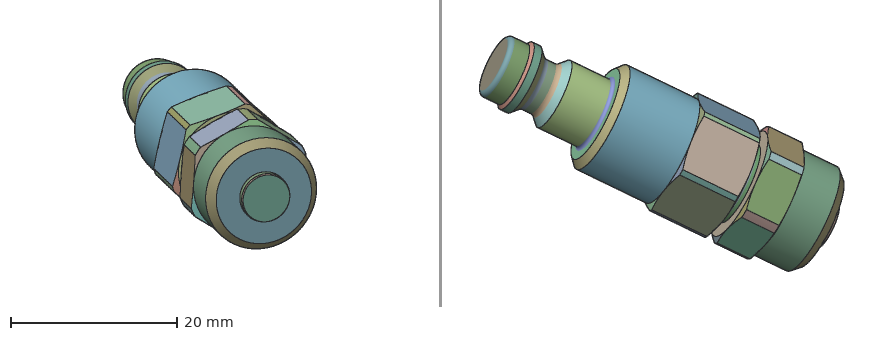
import cadquery as cq
import math

overall_length = 46.0

nose_radius = 8.1 / 2
nose_round = 0.6
collar_radius = 9.0 / 2
collar_ramp_start_x = 2.65
collar_start_x = 3.05
collar_end_x = 4.1

groove_radius = 6.7 / 2
groove_blend = 0.9
shank_start_x = 8.25
shank_root_fillet = 0.4

body_radius = 14.0 / 2
body_start_x = 14.0
body_face_radius = 12.1 / 2
body_chamfer_length = 0.87
cap_chamfer_start_x = 43.85
cap_end_x = 44.95
cap_face_radius = 12.0 / 2

stub_radius = 6.05 / 2
stub_chamfer = 0.28
stub_chamfer_depth = 0.1

across_flats = 2 * body_radius
body_hex_start_x = 24.45
body_hex_end_x = 32.75
body_hex_corner_radius = 7.85
body_hex_angle = 43.7
nut_hex_start_x = 33.85
nut_hex_end_x = 38.85
nut_hex_corner_radius = 15.5 / 2
nut_hex_angle = 34.3
hex_chamfer_length = 0.3
nut_rear_chamfer_length = 0.15
neck_radius = 10.4 / 2
neck_fillet = 0.7


def revolve_about_x(profile):
    """Revolve a closed XY half profile a full turn about the X axis."""
    return profile.revolve(360, (0, 0, 0), (1, 0, 0))


def make_turned_body():
    """Nose, locking groove, shank, body, neck, cap and stub as one revolve."""
    blend_run = groove_blend * math.sin(math.radians(45))
    blend_rise = groove_blend - blend_run
    half_run = groove_blend * math.sin(math.radians(22.5))
    half_rise = groove_blend * (1 - math.cos(math.radians(22.5)))
    flank_run = collar_radius - groove_radius - blend_rise
    flank_radius = groove_radius + blend_rise
    front_flank_x = collar_end_x + flank_run
    front_floor_x = front_flank_x + blend_run
    rear_flank_x = shank_start_x - flank_run
    rear_floor_x = rear_flank_x - blend_run
    root_x = body_start_x - shank_root_fillet
    round_offset = nose_round * (1 - math.sqrt(0.5))
    root_offset = shank_root_fillet * math.sqrt(0.5)
    neck_offset = neck_fillet * (1 - math.sqrt(0.5))

    profile = (
        cq.Workplane("XY")
        .lineTo(0, nose_radius - nose_round)
        .threePointArc((round_offset, nose_radius - round_offset), (nose_round, nose_radius))
        .lineTo(collar_ramp_start_x, nose_radius)
        .lineTo(collar_start_x, collar_radius)
        .lineTo(collar_end_x, collar_radius)
        .lineTo(front_flank_x, flank_radius)
        .threePointArc((front_floor_x - half_run, groove_radius + half_rise), (front_floor_x, groove_radius))
        .lineTo(rear_floor_x, groove_radius)
        .threePointArc((rear_floor_x + half_run, groove_radius + half_rise), (rear_flank_x, flank_radius))
        .lineTo(shank_start_x, collar_radius)
        .lineTo(root_x, collar_radius)
        .threePointArc(
            (root_x + root_offset, collar_radius + shank_root_fillet - root_offset),
            (body_start_x, collar_radius + shank_root_fillet),
        )
        .lineTo(body_start_x, body_face_radius)
        .lineTo(body_start_x + body_chamfer_length, body_radius)
        .lineTo(body_hex_end_x, body_radius)
        .lineTo(body_hex_end_x, neck_radius + neck_fillet)
        .threePointArc(
            (body_hex_end_x + neck_offset, neck_radius + neck_offset),
            (body_hex_end_x + neck_fillet, neck_radius),
        )
        .lineTo(nut_hex_start_x, neck_radius)
        .lineTo(nut_hex_start_x, body_radius)
        .lineTo(cap_chamfer_start_x, body_radius)
        .lineTo(cap_end_x, cap_face_radius)
        .lineTo(cap_end_x, stub_radius)
        .lineTo(overall_length - stub_chamfer, stub_radius)
        .lineTo(overall_length, stub_radius - stub_chamfer_depth)
        .lineTo(overall_length, 0)
        .close()
    )
    return revolve_about_x(profile)


def make_hex(start_x, end_x, corner_radius, corner_angle, rear_chamfer_length):
    """Hexagon with turned corners and ends chamfered down to the body radius.

    corner_angle is measured in degrees from -Y towards +Z.
    """
    prism = (
        cq.Workplane("YZ")
        .polygon(6, across_flats / math.cos(math.radians(30)))
        .extrude(end_x - start_x)
        .rotate((0, 0, 0), (1, 0, 0), -corner_angle)
        .translate((start_x, 0, 0))
    )
    envelope = revolve_about_x(
        cq.Workplane("XY")
        .moveTo(start_x, 0)
        .lineTo(start_x, body_radius)
        .lineTo(start_x + hex_chamfer_length, corner_radius)
        .lineTo(end_x - rear_chamfer_length, corner_radius)
        .lineTo(end_x, body_radius)
        .lineTo(end_x, 0)
        .close()
    )
    return prism.intersect(envelope)


body_hex = make_hex(
    body_hex_start_x, body_hex_end_x, body_hex_corner_radius, body_hex_angle, hex_chamfer_length
)
nut_hex = make_hex(
    nut_hex_start_x, nut_hex_end_x, nut_hex_corner_radius, nut_hex_angle, nut_rear_chamfer_length
)
result = make_turned_body().union(body_hex).union(nut_hex)